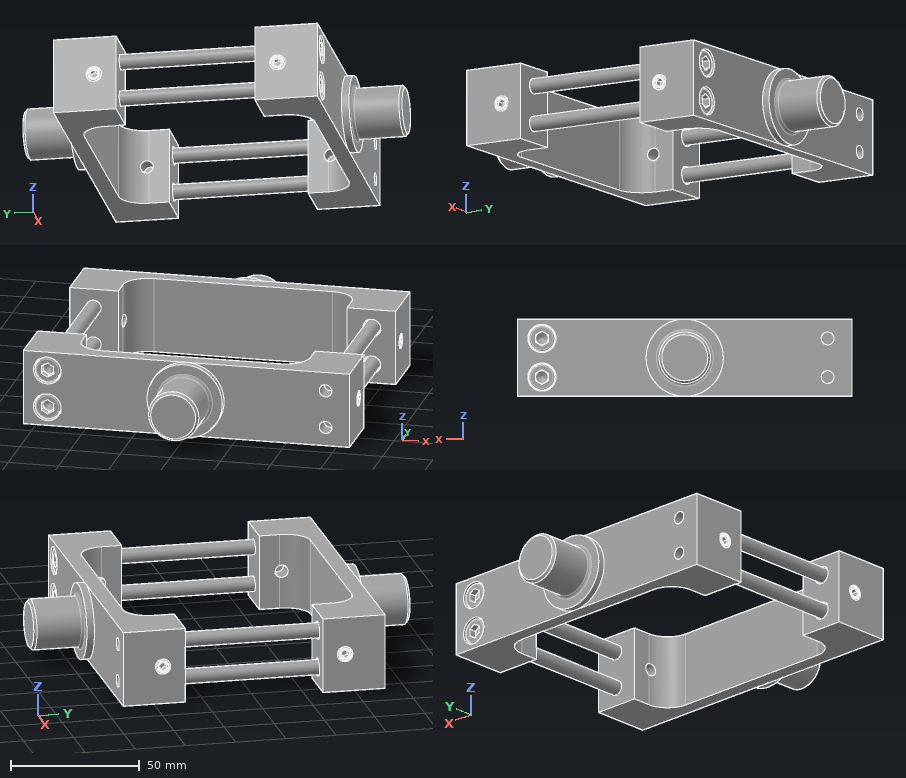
import cadquery as cq
import math

TOTAL_LENGTH = 150.0
YOKE_WIDTH = 130.0
YOKE_HEIGHT = 30.0
YOKE_GAP = 54.9
LEG_DEPTH = 24.8
WINDOW_HALF = 45.6
WINDOW_RADIUS = 10.0

FLANGE_DIAMETER = YOKE_HEIGHT
FLANGE_THICKNESS = 3.0
TRUNNION_DIAMETER = FLANGE_DIAMETER * 2 / 3
TRUNNION_CHAMFER = 1.0
TRUNNION_ROOT_RADIUS = 1.0

THREAD_DIAMETER = 6.0
TAP_DRILL_DIAMETER = 5.0

BOLT_X = 55.5
BOLT_Z = 7.5
HEAD_DIAMETER = 10.0
HEAD_HEIGHT = 6.0
HEAD_FILLET = 0.6
HEAD_SOCKET_FLATS = 5.0
HEAD_SOCKET_DEPTH = 3.0
SOCKET_CONE_ANGLE = 120.0
BOLT_SHANK_LENGTH = 90.0
COUNTERBORE_DIAMETER = 11.0
HEAD_RECESS = 0.5
CLEARANCE_DIAMETER = 7.0

SET_SCREW_SETBACK = 8.8
SET_SCREW_LENGTH = 12.0
SET_SCREW_CHAMFER = 0.6
SET_SCREW_SOCKET_FLATS = 3.0
SET_SCREW_SOCKET_DEPTH = 3.5
SET_SCREW_COUNTERSINK_DIAMETER = 3.9

SIDE_X = YOKE_WIDTH / 2
YOKE_INNER_Y = YOKE_GAP / 2
YOKE_OUTER_Y = YOKE_INNER_Y + LEG_DEPTH
SET_SCREW_Y = YOKE_INNER_Y + SET_SCREW_SETBACK
LEG_WIDTH = SIDE_X - WINDOW_HALF
FLANGE_FACE_Y = YOKE_OUTER_Y + FLANGE_THICKNESS
COUNTERBORE_DEPTH = HEAD_RECESS + HEAD_HEIGHT
HEAD_SEAT_Y = YOKE_OUTER_Y - COUNTERBORE_DEPTH
BOLT_TIP_Y = BOLT_SHANK_LENGTH - HEAD_SEAT_Y


def rod(diameter, length, start, direction):
    """Plain cylinder running from a start point along a direction."""
    cylinder = cq.Solid.makeCylinder(diameter / 2, length, cq.Vector(*start), cq.Vector(*direction))
    return cq.Workplane(cylinder)


def cone_down(radius, depth, top_z):
    """Conical cutter on the Z axis, pointing down from its base at top_z."""
    cone = cq.Solid.makeCone(radius, 0, depth, cq.Vector(0, 0, top_z), cq.Vector(0, 0, -1))
    return cq.Workplane(cone)


def half_turn(body):
    """Turn a body to the opposite side of the frame."""
    return body.rotate((0, 0, 0), (0, 0, 1), 180)


def hex_socket(flats, depth):
    """Hexagonal cutter going down from the XY plane, with two corners on the X axis."""
    corners = flats / math.cos(math.radians(30))
    return cq.Workplane("XY").polygon(6, corners).extrude(-depth)


def yoke_frame():
    """U-shaped block on the -Y side, open toward +Y."""
    block = cq.Workplane("XY").box(YOKE_WIDTH, LEG_DEPTH, YOKE_HEIGHT).translate(
        (0, -(YOKE_OUTER_Y + YOKE_INNER_Y) / 2, 0)
    )
    window = (
        cq.Workplane("XY")
        .box(2 * WINDOW_HALF, 2 * WINDOW_HALF, YOKE_HEIGHT)
        .edges("|Z")
        .fillet(WINDOW_RADIUS)
    )
    return block.cut(window)


def trunnion():
    """Flange and chamfered journal, revolved about Y, with a rounded root."""
    radius = TRUNNION_DIAMETER / 2
    end_y = TOTAL_LENGTH / 2
    profile = (
        cq.Workplane("XY")
        .moveTo(0, -YOKE_OUTER_Y)
        .lineTo(FLANGE_DIAMETER / 2, -YOKE_OUTER_Y)
        .lineTo(FLANGE_DIAMETER / 2, -FLANGE_FACE_Y)
        .lineTo(radius + TRUNNION_ROOT_RADIUS, -FLANGE_FACE_Y)
        .radiusArc((radius, -FLANGE_FACE_Y - TRUNNION_ROOT_RADIUS), -TRUNNION_ROOT_RADIUS)
        .lineTo(radius, -end_y + TRUNNION_CHAMFER)
        .lineTo(radius - TRUNNION_CHAMFER, -end_y)
        .lineTo(0, -end_y)
        .close()
    )
    return profile.revolve(360, (0, 0, 0), (0, 1, 0))


def cut_bolt_holes(body):
    """Counterbored clearance holes in the -X leg and threaded holes in the +X leg."""
    for z in (-BOLT_Z, BOLT_Z):
        outer_left = (-BOLT_X, -YOKE_OUTER_Y, z)
        outer_right = (BOLT_X, -YOKE_OUTER_Y, z)
        thread_start = (BOLT_X, -BOLT_TIP_Y, z)
        body = body.cut(rod(COUNTERBORE_DIAMETER, COUNTERBORE_DEPTH, outer_left, (0, 1, 0)))
        body = body.cut(rod(CLEARANCE_DIAMETER, LEG_DEPTH, outer_left, (0, 1, 0)))
        body = body.cut(rod(TAP_DRILL_DIAMETER, LEG_DEPTH, outer_right, (0, 1, 0)))
        body = body.cut(rod(THREAD_DIAMETER, BOLT_TIP_Y - YOKE_INNER_Y, thread_start, (0, 1, 0)))
    return body


def cut_set_screw_holes(body):
    """Cross holes through both legs and the edge of the window rounding, threaded from outside."""
    through_length = LEG_WIDTH + WINDOW_RADIUS
    for side in (-1, 1):
        start = (side * SIDE_X, -SET_SCREW_Y, 0)
        inward = (-side, 0, 0)
        body = body.cut(rod(TAP_DRILL_DIAMETER, through_length, start, inward))
        body = body.cut(rod(THREAD_DIAMETER, SET_SCREW_LENGTH, start, inward))
    return body


def make_yoke():
    return cut_set_screw_holes(cut_bolt_holes(yoke_frame().union(trunnion())))


def make_bolt(z):
    """Socket head bolt with its head in the -X leg of the -Y yoke."""
    head = (
        cq.Workplane("XY")
        .circle(HEAD_DIAMETER / 2)
        .extrude(-HEAD_HEIGHT)
        .faces(">Z")
        .edges()
        .fillet(HEAD_FILLET)
    )
    shank = rod(THREAD_DIAMETER, BOLT_SHANK_LENGTH, (0, 0, -HEAD_HEIGHT), (0, 0, -1))
    socket = hex_socket(HEAD_SOCKET_FLATS, HEAD_SOCKET_DEPTH).rotate((0, 0, 0), (0, 0, 1), 90)
    tip_radius = HEAD_SOCKET_FLATS / 2
    tip_depth = tip_radius / math.tan(math.radians(SOCKET_CONE_ANGLE / 2))
    tip = cone_down(tip_radius, tip_depth, -HEAD_SOCKET_DEPTH)
    bolt = head.union(shank).cut(socket).cut(tip)
    return bolt.rotate((0, 0, 0), (1, 0, 0), 90).translate((-BOLT_X, HEAD_RECESS - YOKE_OUTER_Y, z))


def make_set_screw(y):
    """Headless socket screw flush with the -X side."""
    screw = (
        cq.Workplane("XY")
        .circle(THREAD_DIAMETER / 2)
        .extrude(-SET_SCREW_LENGTH)
        .faces(">Z")
        .chamfer(SET_SCREW_CHAMFER)
    )
    screw = screw.cut(hex_socket(SET_SCREW_SOCKET_FLATS, SET_SCREW_SOCKET_DEPTH))
    mouth_radius = SET_SCREW_COUNTERSINK_DIAMETER / 2
    screw = screw.cut(cone_down(mouth_radius, mouth_radius, 0))
    return screw.rotate((0, 0, 0), (0, 1, 0), -90).translate((-SIDE_X, y, 0))


front_yoke = make_yoke()
yokes = [front_yoke, half_turn(front_yoke)]

bolts = []
for z in (-BOLT_Z, BOLT_Z):
    bolt = make_bolt(z)
    bolts += [bolt, half_turn(bolt)]

set_screws = []
for y in (-SET_SCREW_Y, SET_SCREW_Y):
    set_screw = make_set_screw(y)
    set_screws += [set_screw, half_turn(set_screw)]

result = cq.Compound.makeCompound([body.val() for body in yokes + bolts + set_screws])